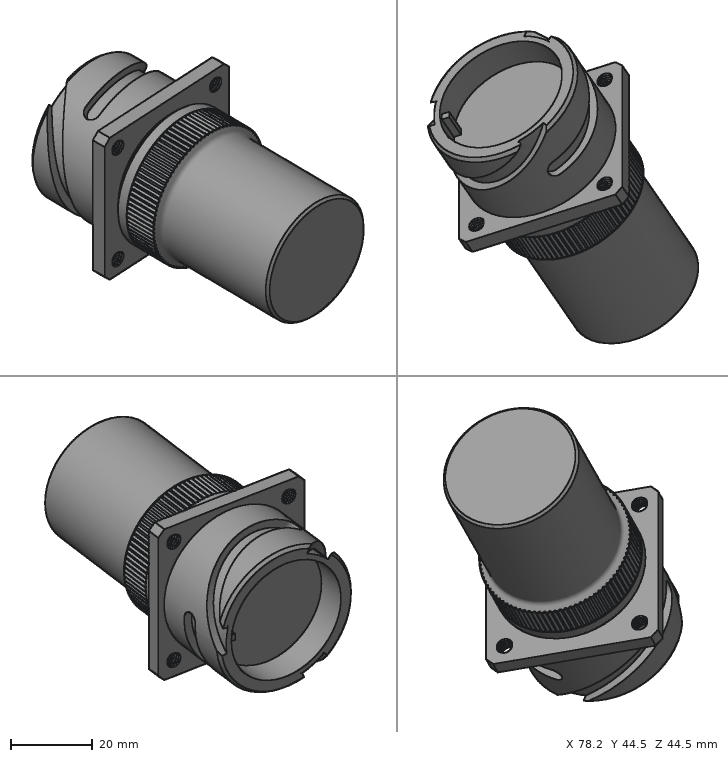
import cadquery as cq
import math

TOTAL_LENGTH = 78.2

SHELL_RADIUS = 20.45
SHELL_CHAMFER_LENGTH = 1.0
SHELL_CHAMFER_HEIGHT = 0.75
CAVITY_RADIUS = 16.65
CAVITY_DEPTH = 8.2

KEY_WIDTH = 1.8
KEY_HEIGHT = 2.0
KEY_LENGTH = 7.0

FLANGE_SIDE = 44.45
FLANGE_START = 23.1
FLANGE_THICKNESS = 4.0
FLANGE_END = FLANGE_START + FLANGE_THICKNESS
FLANGE_CORNER_CHAMFER = 1.85

HOLE_OFFSET = 17.45
THREAD_MINOR_RADIUS = 1.75
THREAD_MAJOR_RADIUS = 2.03
THREAD_TURNS = 5

NECK_RADIUS = 17.35
NECK_END = 27.7
RELIEF_RADIUS = 16.7

RING_RADIUS = 19.65
RING_START = 28.2
RING_CHAMFER = 1.0
KNURL_START = 32.1
KNURL_END = 41.2
KNURL_DEPTH = 0.5
KNURL_TEETH = 90
TAPER_END = 42.05
TAPER_END_RADIUS = 18.2

BARREL_RADIUS = 17.5
BARREL_START = 43.3
BARREL_END_CHAMFER = 0.7

GROOVE_COUNT = 3
GROOVE_WIDTH = 4.7
GROOVE_FLOOR_RADIUS = 18.2
GROOVE_END_X = 12.25
GROOVE_END_ANGLE = 122.5
GROOVE_CURVE_EXPONENT = 2.5
GROOVE_MOUTH_ANGLE = 2.0
GROOVE_LEAD_ANGLE = -12.3
GROOVE_SEGMENTS = 27
CUTTER_CLEARANCE = 1.5


def build_turned_body():
    """Shell, neck, coupling ring and barrel as one revolved profile."""
    rear_chamfer_radius = BARREL_RADIUS - BARREL_END_CHAMFER
    fillet_length = BARREL_START - TAPER_END
    fillet_rise = TAPER_END_RADIUS - BARREL_RADIUS
    fillet_radius = (fillet_length ** 2 + fillet_rise ** 2) / (2 * fillet_rise)
    half_sweep = math.asin(fillet_length / fillet_radius) / 2
    fillet_mid_x = BARREL_START - fillet_radius * math.sin(half_sweep)
    fillet_mid_radius = BARREL_RADIUS + fillet_radius * (1 - math.cos(half_sweep))
    return (
        cq.Workplane("XY")
        .moveTo(0, 0)
        .lineTo(0, SHELL_RADIUS - SHELL_CHAMFER_HEIGHT)
        .lineTo(SHELL_CHAMFER_LENGTH, SHELL_RADIUS)
        .lineTo(FLANGE_END, SHELL_RADIUS)
        .lineTo(FLANGE_END, NECK_RADIUS)
        .lineTo(NECK_END, NECK_RADIUS)
        .lineTo(NECK_END, RELIEF_RADIUS)
        .lineTo(RING_START, RELIEF_RADIUS)
        .lineTo(RING_START, RING_RADIUS - RING_CHAMFER)
        .lineTo(RING_START + RING_CHAMFER, RING_RADIUS)
        .lineTo(KNURL_END, RING_RADIUS)
        .lineTo(TAPER_END, TAPER_END_RADIUS)
        .threePointArc((fillet_mid_x, fillet_mid_radius), (BARREL_START, BARREL_RADIUS))
        .lineTo(TOTAL_LENGTH - BARREL_END_CHAMFER, BARREL_RADIUS)
        .lineTo(TOTAL_LENGTH, rear_chamfer_radius)
        .lineTo(TOTAL_LENGTH, 0)
        .close()
        .revolve(360, (0, 0, 0), (1, 0, 0))
    )


def build_flange():
    """Square plate with cut corners."""
    return (
        cq.Workplane("YZ", origin=(FLANGE_START, 0, 0))
        .rect(FLANGE_SIDE, FLANGE_SIDE)
        .extrude(FLANGE_THICKNESS)
        .edges("|X")
        .chamfer(FLANGE_CORNER_CHAMFER)
    )


def build_threaded_hole():
    """Through hole along X with ring-shaped thread grooves, centred on the axis."""
    pitch = FLANGE_THICKNESS / THREAD_TURNS
    profile = cq.Workplane("XY").moveTo(FLANGE_START, 0)
    for turn in range(THREAD_TURNS):
        turn_start = FLANGE_START + turn * pitch
        profile = profile.lineTo(turn_start, THREAD_MAJOR_RADIUS)
        profile = profile.lineTo(turn_start + pitch / 2, THREAD_MINOR_RADIUS)
    return (
        profile
        .lineTo(FLANGE_END, THREAD_MAJOR_RADIUS)
        .lineTo(FLANGE_END, 0)
        .close()
        .revolve(360, (0, 0, 0), (1, 0, 0))
    )


def build_cavity():
    """Round mating cavity with the key left standing on its +Y side."""
    cavity = cq.Workplane("YZ").circle(CAVITY_RADIUS).extrude(CAVITY_DEPTH)
    key = (
        cq.Workplane("YZ", origin=(CAVITY_DEPTH - KEY_LENGTH, 0, 0))
        .center(CAVITY_RADIUS, 0)
        .rect(2 * KEY_HEIGHT, KEY_WIDTH)
        .extrude(KEY_LENGTH)
    )
    return cavity.cut(key)


def build_knurl_cutter():
    """Ring with a sharp-toothed bore that leaves V-shaped teeth on the coupling ring."""
    root_radius = RING_RADIUS - KNURL_DEPTH
    half_pitch = math.pi / KNURL_TEETH
    outline = []
    for tooth in range(KNURL_TEETH):
        tip_angle = 2 * tooth * half_pitch
        root_angle = tip_angle + half_pitch
        outline.append((RING_RADIUS * math.cos(tip_angle), RING_RADIUS * math.sin(tip_angle)))
        outline.append((root_radius * math.cos(root_angle), root_radius * math.sin(root_angle)))
    knurl_length = KNURL_END - KNURL_START
    base = cq.Workplane("YZ", origin=(KNURL_START, 0, 0))
    teeth = base.polyline(outline).close().extrude(knurl_length)
    return base.circle(RING_RADIUS + CUTTER_CLEARANCE).extrude(knurl_length).cut(teeth)


def groove_section(angle):
    """Rectangular groove section square to the centre line at the given angle."""
    run = GROOVE_END_ANGLE - GROOVE_MOUTH_ANGLE
    remaining = max(0.0, (GROOVE_END_ANGLE - angle) / run)
    center_x = GROOVE_END_X * (1 - remaining ** GROOVE_CURVE_EXPONENT)
    rise_per_degree = (
        GROOVE_END_X * GROOVE_CURVE_EXPONENT / run * remaining ** (GROOVE_CURVE_EXPONENT - 1)
    )
    slope = math.atan(math.degrees(rise_per_degree) / SHELL_RADIUS)
    turn = math.radians(angle)
    radial = cq.Vector(0, math.cos(turn), math.sin(turn))
    tangent = cq.Vector(0, -math.sin(turn), math.cos(turn))
    across = cq.Vector(math.cos(slope), 0, 0) - tangent * math.sin(slope)
    half_width = across * (GROOVE_WIDTH / 2)
    axis_point = cq.Vector(center_x, 0, 0)
    floor = axis_point + radial * GROOVE_FLOOR_RADIUS
    top = axis_point + radial * (SHELL_RADIUS + CUTTER_CLEARANCE)
    corners = [floor - half_width, floor + half_width, top + half_width, top - half_width]
    return cq.Wire.makePolygon(corners, close=True)


def build_groove_cutter():
    """Curved groove of short straight segments, closed by a round end."""
    step = (GROOVE_END_ANGLE - GROOVE_LEAD_ANGLE) / GROOVE_SEGMENTS
    sections = [groove_section(GROOVE_LEAD_ANGLE + i * step) for i in range(GROOVE_SEGMENTS + 1)]
    channel = cq.Workplane(cq.Solid.makeLoft(sections, True))
    round_end = (
        cq.Workplane("XZ", origin=(GROOVE_END_X, GROOVE_FLOOR_RADIUS, 0))
        .circle(GROOVE_WIDTH / 2)
        .extrude(-(SHELL_RADIUS + CUTTER_CLEARANCE - GROOVE_FLOOR_RADIUS))
        .rotate((0, 0, 0), (1, 0, 0), GROOVE_END_ANGLE)
    )
    return channel.union(round_end)


result = build_turned_body().union(build_flange())
result = result.cut(build_cavity())

hole = build_threaded_hole()
for y_side in (-1, 1):
    for z_side in (-1, 1):
        result = result.cut(hole.translate((0, y_side * HOLE_OFFSET, z_side * HOLE_OFFSET)))

groove = build_groove_cutter()
for index in range(GROOVE_COUNT):
    result = result.cut(groove.rotate((0, 0, 0), (1, 0, 0), index * 360 / GROOVE_COUNT))

result = result.cut(build_knurl_cutter())